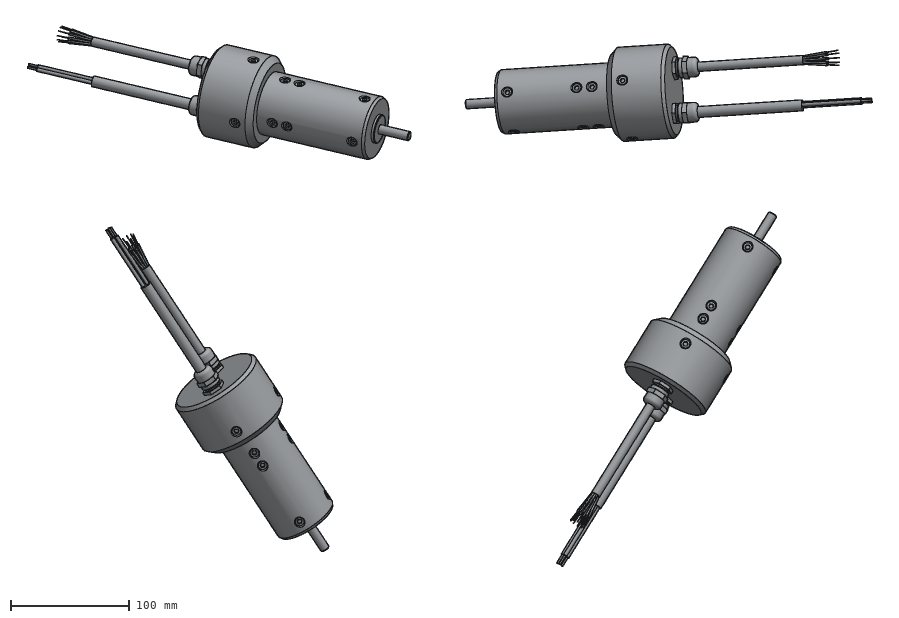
import cadquery as cq
import math

TOTAL_LENGTH = 351.5

HOUSING_DIAMETER = 80.0
HOUSING_REAR_X = 171.2
HOUSING_FRONT_X = 222.0
REAR_CHAMFER = 2.8
FRONT_CHAMFER = 5.3

TUBE_DIAMETER = 55.0
TUBE_FRONT_X = 321.3
TUBE_CHAMFER_LENGTH = 2.5
TUBE_CHAMFER_DEPTH = 1.5
BOSS_DIAMETER = 25.0
BOSS_FRONT_X = 324.0
BOSS_CHAMFER = 0.7
SHAFT_DIAMETER = 8.0
SHAFT_CHAMFER = 0.7

SCREWS_PER_RING = 4
HOUSING_SCREW_X = 207.5
TUBE_SCREW_X = (236.5, 250.0, 310.0)
SCREW_SINK_DIAMETER = 9.5
SCREW_HEAD_DIAMETER = 7.5
SCREW_SINK_DEPTH = 1.0
SOCKET_DIAMETER = 4.2
SOCKET_DEPTH = 2.0

GLAND_OFFSET_Z = 20.0
GLAND_DIAMETER = 17.0
GLAND_REAR_X = 150.0
GLAND_FRONT_X = 167.0
GLAND_ROUNDING = 3.0
GLAND_FRONT_CHAMFER = 1.0
GLAND_NECK_DIAMETER = 14.0
HEX_CORNER_DIAMETER = GLAND_DIAMETER / math.cos(math.pi / 6)
HEX_TURN = 15.0
CAP_HEX_X = 158.5
CAP_HEX_LENGTH = 4.2
BASE_HEX_X = 168.5

SIGNAL_JACKET_DIAMETER = 8.0
SIGNAL_JACKET_X = 59.0
SIGNAL_WIRE_COUNT = 10
SIGNAL_WIRE_DIAMETER = 1.8
SIGNAL_CORE_DIAMETER = 0.5
SIGNAL_STRIP_X = 38.5
SIGNAL_TIP_X = 29.0
FLARE_ROOT_RADIUS = 3.0
FLARE_TIP_RADIUS = 6.7

POWER_JACKET_DIAMETER = 9.5
POWER_JACKET_X = 59.8
POWER_WIRE_DIAMETER = 3.3
POWER_CORE_DIAMETER = 1.8
POWER_STRIP_X = 8.8
POWER_PAIR_SPACING = 4.2
POWER_PAIR_Z = 0.0
POWER_TOP_WIRE_Z = 1.8

WIRE_EMBED = 1.8


def rod(diameter, start_x, end_x, y=0.0, z=0.0):
    """Round bar parallel to X."""
    return cq.Workplane("YZ", origin=(start_x, y, z)).circle(diameter / 2).extrude(end_x - start_x)


def make_housing():
    housing = rod(HOUSING_DIAMETER, HOUSING_REAR_X, HOUSING_FRONT_X)
    return housing.faces("<X").chamfer(REAR_CHAMFER).faces(">X").chamfer(FRONT_CHAMFER)


def make_tube():
    tube = rod(TUBE_DIAMETER, HOUSING_FRONT_X, TUBE_FRONT_X)
    return tube.faces(">X").chamfer(TUBE_CHAMFER_LENGTH, TUBE_CHAMFER_DEPTH)


def make_output():
    boss = rod(BOSS_DIAMETER, TUBE_FRONT_X, BOSS_FRONT_X).faces(">X").chamfer(BOSS_CHAMFER)
    shaft = rod(SHAFT_DIAMETER, BOSS_FRONT_X, TOTAL_LENGTH).faces(">X").chamfer(SHAFT_CHAMFER)
    return boss.union(shaft)


def screw_ring_cutter(x, body_diameter):
    """Conical screw seats with hexagonal sockets, spaced evenly around the motor axis."""
    surface_z = body_diameter / 2
    floor_z = surface_z - SCREW_SINK_DEPTH
    sink = (
        cq.Workplane("XY", origin=(x, 0, floor_z))
        .circle(SCREW_HEAD_DIAMETER / 2)
        .workplane(offset=SCREW_SINK_DEPTH)
        .circle(SCREW_SINK_DIAMETER / 2)
        .loft()
    )
    socket = (
        cq.Workplane("XY", origin=(x, 0, floor_z - SOCKET_DEPTH))
        .polygon(6, SOCKET_DIAMETER)
        .extrude(SOCKET_DEPTH + SCREW_SINK_DEPTH)
    )
    seat = sink.union(socket)
    ring = cq.Workplane("XY")
    for index in range(SCREWS_PER_RING):
        ring = ring.add(seat.rotate((0, 0, 0), (1, 0, 0), index * 360 / SCREWS_PER_RING))
    return ring.combine()


def hex_collar(start_x, length, z, turn):
    collar = cq.Workplane("YZ", origin=(start_x, 0, z)).polygon(6, HEX_CORNER_DIAMETER).extrude(length)
    return collar.rotate((0, 0, z), (1, 0, z), turn)


def make_gland(z, turn):
    cap = rod(GLAND_DIAMETER, GLAND_REAR_X, GLAND_FRONT_X, z=z)
    cap = cap.faces("<X").edges().fillet(GLAND_ROUNDING).faces(">X").chamfer(GLAND_FRONT_CHAMFER)
    neck = rod(GLAND_NECK_DIAMETER, GLAND_FRONT_X, HOUSING_REAR_X, z=z)
    cap_hex = hex_collar(CAP_HEX_X, CAP_HEX_LENGTH, z, turn)
    base_hex = hex_collar(BASE_HEX_X, HOUSING_REAR_X - BASE_HEX_X, z, turn)
    return cap.union(neck).union(cap_hex).union(base_hex)


def make_signal_cable(z):
    cable = rod(SIGNAL_JACKET_DIAMETER, SIGNAL_JACKET_X, GLAND_REAR_X, z=z)
    flare_slope = (FLARE_TIP_RADIUS - FLARE_ROOT_RADIUS) / (SIGNAL_JACKET_X - SIGNAL_TIP_X)
    stretch = math.hypot(1, flare_slope)
    root_x = SIGNAL_JACKET_X + WIRE_EMBED
    root_radius = FLARE_ROOT_RADIUS - flare_slope * WIRE_EMBED
    layers = ((SIGNAL_WIRE_DIAMETER, SIGNAL_STRIP_X), (SIGNAL_CORE_DIAMETER, SIGNAL_TIP_X))
    for index in range(SIGNAL_WIRE_COUNT):
        angle = math.pi / 2 + index * 2 * math.pi / SIGNAL_WIRE_COUNT
        across_y = math.cos(angle)
        across_z = math.sin(angle)
        root = cq.Vector(root_x, root_radius * across_y, z + root_radius * across_z)
        direction = cq.Vector(-1, flare_slope * across_y, flare_slope * across_z)
        for diameter, end_x in layers:
            length = (root_x - end_x) * stretch
            cable = cable.union(cq.Workplane(cq.Solid.makeCylinder(diameter / 2, length, root, direction)))
    return cable


def make_power_cable(z):
    cable = rod(POWER_JACKET_DIAMETER, POWER_JACKET_X, GLAND_REAR_X, z=z)
    wire_places = (
        (-POWER_PAIR_SPACING / 2, POWER_PAIR_Z),
        (POWER_PAIR_SPACING / 2, POWER_PAIR_Z),
        (0.0, POWER_TOP_WIRE_Z),
    )
    root_x = POWER_JACKET_X + WIRE_EMBED
    for y, wire_z in wire_places:
        cable = cable.union(rod(POWER_WIRE_DIAMETER, POWER_STRIP_X, root_x, y, z + wire_z))
        cable = cable.union(rod(POWER_CORE_DIAMETER, 0.0, POWER_STRIP_X, y, z + wire_z))
    return cable


motor = make_housing().union(make_tube()).union(make_output())
motor = motor.cut(screw_ring_cutter(HOUSING_SCREW_X, HOUSING_DIAMETER))
for screw_x in TUBE_SCREW_X:
    motor = motor.cut(screw_ring_cutter(screw_x, TUBE_DIAMETER))

for side, make_cable in ((1, make_signal_cable), (-1, make_power_cable)):
    gland_z = side * GLAND_OFFSET_Z
    motor = motor.union(make_gland(gland_z, side * HEX_TURN)).union(make_cable(gland_z))

result = motor